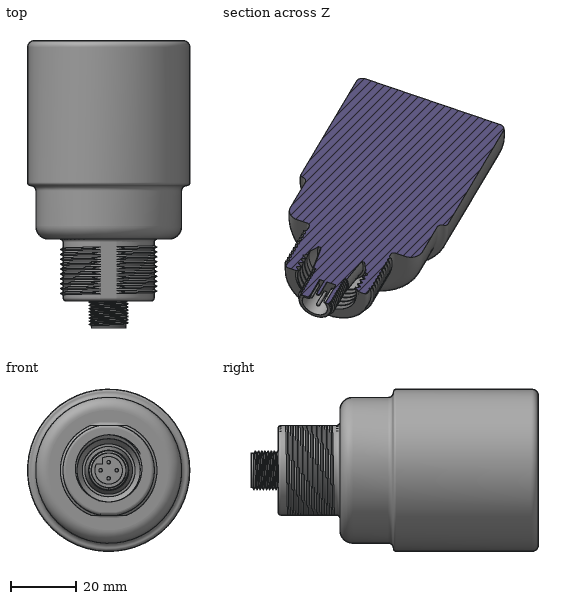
import cadquery as cq
import math


total_length = 88.45
body_radius = 24.99
neck_radius = 22.5
body_start = 43.8
neck_start = 27.3
neck_front_fillet = 4.0
shoulder_fillet = 1.0
neck_root_fillet = body_radius - neck_radius - shoulder_fillet
rear_fillet = 2.0

spigot_start = 8.3
spigot_root_radius = 14.1
spigot_crest_radius = 14.9
spigot_flat_width = 5.0
spigot_flat_height = math.sqrt(spigot_root_radius**2 - (spigot_flat_width / 2) ** 2)
spigot_fillet = 1.0
spigot_pitch = 1.5
spigot_thread_start = 10.3
spigot_thread_turns = 10

bore_radius = 9.7
bore_groove_radius = 11.0
bore_pitch = 1.8
bore_groove_width = 1.7
bore_groove_end = 16.4
bore_thread_end = 17.25
bore_floor_radius = 8.1
bore_cone_angle = 30
bore_floor = bore_thread_end + (bore_radius - bore_floor_radius) / math.tan(math.radians(bore_cone_angle))

plug_root_radius = 5.4
plug_crest_radius = 6.0
plug_lead_radius = 5.3
plug_lead_length = 0.7
plug_pitch = 1.0
plug_thread_start = 0.9
plug_thread_end = 11.5
plug_base_front_radius = 6.2
plug_base_rear_radius = 7.3
socket_radius = 4.25
socket_depth = 8
key_corner_offset = 1.95
pin_count = 4
pin_radius = 0.5
pin_circle_radius = 2.5
pin_tip = 2.2
pin_tip_fillet = 0.35

flank_slope = math.tan(math.radians(30))
root_overlap = 0.2
joint_overlap = 0.9


def cylinder(radius, bottom, top):
    return cq.Workplane("XY").workplane(offset=bottom).circle(radius).extrude(top - bottom)


def revolved(points):
    """Solid of revolution about Z from (radius, z) points."""
    return cq.Workplane("XZ").polyline(points).close().revolve(360, (0, 0, 0), (0, 1, 0))


def helical_ridge(base_radius, tip_radius, base_width, pitch, turns, start_z, start_angle):
    """Right-handed V ridge that starts at start_angle, with its tip at start_z."""
    helix = cq.Wire.makeHelix(pitch, pitch * turns, base_radius)
    profile = cq.Workplane("XZ").polyline([
        (base_radius, -base_width / 2),
        (tip_radius, 0),
        (base_radius, base_width / 2),
    ]).close()
    ridge = profile.sweep(cq.Workplane(obj=helix), isFrenet=True)
    return ridge.rotate((0, 0, 0), (0, 0, 1), start_angle).translate((0, 0, start_z))


def outer_thread(root_radius, crest_radius, pitch, turns, start_z):
    buried_radius = root_radius - root_overlap
    base_width = 2 * (crest_radius - buried_radius) * flank_slope
    return helical_ridge(buried_radius, crest_radius, base_width, pitch, turns, start_z, 90)


def housing():
    outline = (
        cq.Workplane("XZ")
        .moveTo(0, neck_start)
        .lineTo(neck_radius - neck_front_fillet, neck_start)
        .radiusArc((neck_radius, neck_start + neck_front_fillet), -neck_front_fillet)
        .lineTo(neck_radius, body_start - neck_root_fillet)
        .radiusArc((neck_radius + neck_root_fillet, body_start), neck_root_fillet)
        .radiusArc((body_radius, body_start + shoulder_fillet), -shoulder_fillet)
        .lineTo(body_radius, total_length - rear_fillet)
        .radiusArc((body_radius - rear_fillet, total_length), -rear_fillet)
        .lineTo(0, total_length)
        .close()
    )
    return outline.revolve(360, (0, 0, 0), (0, 1, 0))


def between_flats():
    return cq.Workplane("XY").box(2 * body_radius, 2 * spigot_flat_height, 2 * total_length)


def add_spigot(part):
    spigot = cylinder(spigot_root_radius, spigot_start, neck_start + joint_overlap)
    spigot = spigot.intersect(between_flats())
    spigot = spigot.faces("<Z").edges().fillet(spigot_fillet)
    part = part.union(spigot)
    seat = cq.selectors.BoxSelector(
        (-spigot_crest_radius, -spigot_crest_radius, neck_start - root_overlap),
        (spigot_crest_radius, spigot_crest_radius, neck_start + root_overlap),
        boundingbox=True,
    )
    return part.edges(seat).fillet(spigot_fillet)


def spigot_thread():
    """The flats part the thread into separate lobes, so one turn is trimmed and repeated."""
    turn = outer_thread(spigot_root_radius, spigot_crest_radius, spigot_pitch, 1, spigot_thread_start)
    lobes = turn.intersect(between_flats())
    thread = cq.Workplane("XY")
    for index in range(spigot_thread_turns):
        thread = thread.add(lobes.translate((0, 0, index * spigot_pitch)))
    return thread


def bore():
    return revolved([
        (0, spigot_start),
        (bore_radius, spigot_start),
        (bore_radius, bore_thread_end),
        (bore_floor_radius, bore_floor),
        (0, bore_floor),
    ])


def bore_groove():
    """Groove that runs out through the spigot face, where it is deepest towards +Z."""
    turns_before_face = 1
    start_z = spigot_start - turns_before_face * bore_pitch
    turns = (bore_groove_end - start_z) / bore_pitch
    return helical_ridge(
        bore_radius - root_overlap, bore_groove_radius, bore_groove_width, bore_pitch, turns, start_z, -90
    )


def plug_thread():
    turns = (plug_thread_end - plug_thread_start) / plug_pitch
    return outer_thread(plug_root_radius, plug_crest_radius, plug_pitch, turns, plug_thread_start)


def plug():
    shell = revolved([
        (0, 0),
        (plug_lead_radius, 0),
        (plug_lead_radius, plug_lead_length),
        (plug_root_radius, plug_lead_length),
        (plug_root_radius, plug_thread_end),
        (plug_base_front_radius, plug_thread_end),
        (plug_base_rear_radius, bore_floor),
        (plug_base_rear_radius, bore_floor + joint_overlap),
        (0, bore_floor + joint_overlap),
    ])
    key = cq.Workplane("XY").box(socket_radius, socket_radius, socket_depth, centered=False)
    key = key.translate((-key_corner_offset - socket_radius, -key_corner_offset - socket_radius, 0))
    shell = shell.cut(cylinder(socket_radius, 0, socket_depth).cut(key))
    pin = cylinder(pin_radius, pin_tip, socket_depth + joint_overlap)
    pin = pin.faces("<Z").edges().fillet(pin_tip_fillet).translate((pin_circle_radius, 0, 0))
    for index in range(pin_count):
        shell = shell.union(pin.rotate((0, 0, 0), (0, 0, 1), index * 360 / pin_count))
    return shell


body = add_spigot(housing()).cut(bore()).cut(bore_groove())
body = body.union(spigot_thread())
body = body.union(plug(), clean=False).union(plug_thread(), clean=False)
result = body.rotate((0, 0, 0), (1, 0, 0), -90)